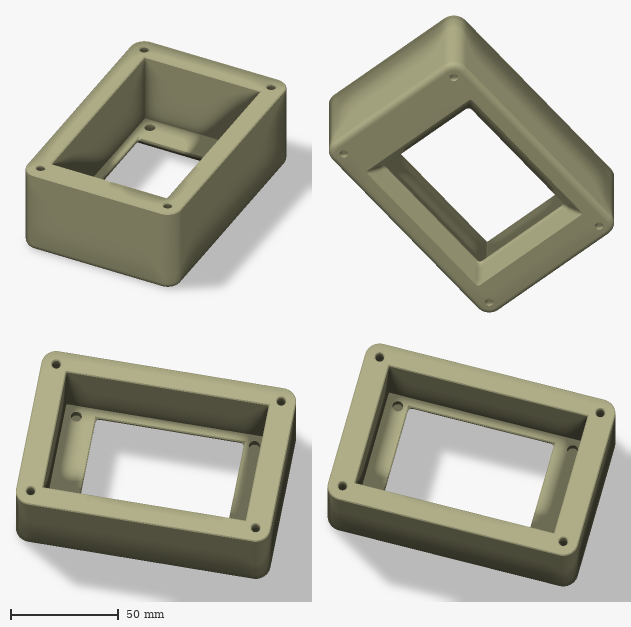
import cadquery as cq
width = 80.0
length = 120.0
height = 43.0
corner_radius = 7.0
bottom_fillet = 3.0
edge_break = 0.5

cavity_width = 60.0
cavity_length = 95.5
floor_thickness = 8.0

window_width = 51.2
window_length = 70.0
window_offset_y = -2.0
window_edge_radius = 2.0
lip_thickness = 2.0
bezel_height = floor_thickness - lip_thickness
bevel_angle = 45

screw_diameter = 4.0

pocket_diameter = 5.0
pocket_spacing_x = 49.0
pocket_spacing_y = 84.0
pocket_depth = 4.0


def make_body():
    """Solid block with rounded upright corners and a rounded bottom edge."""
    block = cq.Workplane("XY").box(width, length, height, centered=(True, True, False))
    block = block.edges("|Z").fillet(corner_radius)
    return block.faces("<Z").edges().fillet(bottom_fillet)


def make_block(block_width, block_length, start_z, depth, taper=0):
    """Rectangular block extruded from start_z with an inward taper; a negative depth points down."""
    return (
        cq.Workplane("XY", origin=(0, 0, start_z))
        .rect(block_width, block_length)
        .extrude(depth, taper=taper)
    )


def make_flare(opening_width, opening_length, top_z, depth):
    """45 degree bevel around an opening's upper edge, pointing down from top_z.

    It is deep enough for its sharp mitred corners to run down into softened opening corners.
    """
    mouth_width = opening_width + 2 * edge_break
    mouth_length = opening_length + 2 * edge_break
    return make_block(mouth_width, mouth_length, top_z, -depth, bevel_angle)


def make_cavity():
    """Cutter for the cavity above the floor, with softened upright corners and a flared mouth."""
    cavity = make_block(cavity_width, cavity_length, floor_thickness, height - floor_thickness)
    cavity = cavity.edges("|Z").fillet(edge_break)
    return cavity.union(make_flare(cavity_width, cavity_length, height, 2 * edge_break))


def make_four_cylinders(spacing_x, spacing_y, diameter, start_z, depth):
    """Four upright cylinders on a centered rectangle, used as hole cutters."""
    return (
        cq.Workplane("XY", origin=(0, 0, start_z))
        .rect(spacing_x, spacing_y, forConstruction=True)
        .vertices()
        .circle(diameter / 2)
        .extrude(depth)
    )


def make_window():
    """Cutter for the window: straight through the lip, then the bezel, with rounded edges."""
    opening = make_block(window_width, window_length, bezel_height, lip_thickness)
    bezel_width = window_width + 2 * bezel_height
    bezel_length = window_length + 2 * bezel_height
    bezel = make_block(bezel_width, bezel_length, 0, bezel_height, bevel_angle)
    window = opening.union(bezel)

    lip_zone = cq.selectors.BoxSelector(
        (-width, -length, bezel_height - edge_break),
        (width, length, bezel_height + edge_break),
    )
    window = window.edges("#Z").edges(lip_zone).fillet(window_edge_radius)
    window = window.edges("not #Z").fillet(window_edge_radius)

    flare_depth = edge_break + window_edge_radius
    window = window.union(make_flare(window_width, window_length, floor_thickness, flare_depth))
    return window.translate((0, window_offset_y, 0))


cavity = make_cavity()
window = make_window()
screw_holes = make_four_cylinders(
    width - 2 * corner_radius, length - 2 * corner_radius, screw_diameter, 0, height
)
floor_pockets = make_four_cylinders(
    pocket_spacing_x, pocket_spacing_y, pocket_diameter, floor_thickness - pocket_depth, pocket_depth
)

frame = make_body().cut(screw_holes)
frame = frame.faces(">Z").edges().chamfer(edge_break)

result = frame.cut(cavity).cut(window).cut(floor_pockets)